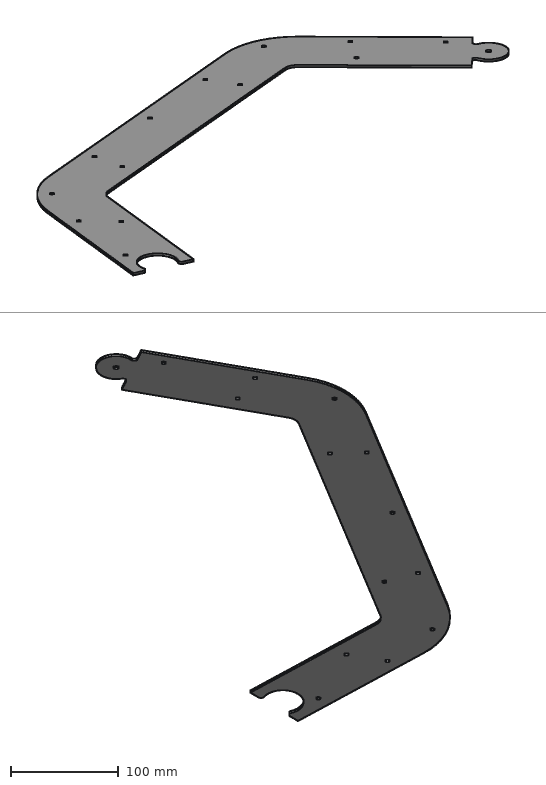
import cadquery as cq
import math

length_x = 401.5
length_y = 554.0
thickness = 2.55
width = 64.0
inner_bend_radius = 14.0
outer_bend_radius = inner_bend_radius + width
mid_bend_radius = inner_bend_radius + width / 2
arm_length = 161.5
middle_length = 2 * arm_length
bend_angle = 60

tab_radius = 19.0
tab_side_shift = 1.0
tab_fillet = 3.5
notch_radius = 19.5
notch_inset = 11.0
notch_fillet = 3.5

hole_diameter = 4.0
tab_hole_diameter = 5.0
outer_row_inset = 14.0
upper_arm_row_inset = 11.0
inner_row_inset = 16.5
outer_row_radius = outer_bend_radius - outer_row_inset
upper_arm_row_radius = outer_bend_radius - upper_arm_row_inset
inner_row_radius = inner_bend_radius + inner_row_inset
lower_arm_outer_holes = (34.0, 122.5)
upper_arm_outer_holes = (48.0, 137.0)
arm_inner_hole = 54.0
middle_outer_spacing = 101.5
middle_inner_spacing = 215.5


def polar(center, radius, angle):
    """Point at a radius and angle in degrees from a center."""
    a = math.radians(angle)
    return (center[0] + radius * math.cos(a), center[1] + radius * math.sin(a))


lower_center = (length_x - arm_length, outer_bend_radius)
upper_center = polar(lower_center, middle_length, 180 - bend_angle)
lower_normal = 270
middle_normal = lower_normal - bend_angle
upper_normal = middle_normal - bend_angle
lower_mid = (lower_normal + middle_normal) / 2
upper_mid = (middle_normal + upper_normal) / 2


def leg_point(center, normal, radius, along):
    """Point along a leg, measured from a bend toward the upper arm end."""
    return polar(polar(center, radius, normal), along, normal - 90)


def lower_point(radius, along):
    return leg_point(lower_center, lower_normal, radius, -along)


def middle_point(radius, along):
    return leg_point(lower_center, middle_normal, radius, along)


def upper_point(radius, along):
    return leg_point(upper_center, upper_normal, radius, along)


def bent_strip():
    outer, inner = outer_bend_radius, inner_bend_radius
    return (
        cq.Workplane("XY")
        .moveTo(*lower_point(outer, arm_length))
        .lineTo(*lower_point(outer, 0))
        .threePointArc(polar(lower_center, outer, lower_mid), middle_point(outer, 0))
        .lineTo(*middle_point(outer, middle_length))
        .threePointArc(polar(upper_center, outer, upper_mid), upper_point(outer, 0))
        .lineTo(*upper_point(outer, arm_length))
        .lineTo(*upper_point(inner, arm_length))
        .lineTo(*upper_point(inner, 0))
        .threePointArc(polar(upper_center, inner, upper_mid), middle_point(inner, middle_length))
        .lineTo(*middle_point(inner, 0))
        .threePointArc(polar(lower_center, inner, lower_mid), lower_point(inner, 0))
        .lineTo(*lower_point(inner, arm_length))
        .close()
        .extrude(thickness)
    )


def disc(center, radius):
    return cq.Workplane("XY").center(*center).circle(radius).extrude(thickness)


def fillet_corners(plate, points, radius):
    """Round the vertical edges nearest to the given points."""
    for x, y in points:
        corner = cq.selectors.NearestToPointSelector((x, y, thickness / 2))
        plate = plate.edges("|Z").edges(corner).fillet(radius)
    return plate


def add_tab(plate):
    plate = plate.union(disc(tab_center, tab_radius))
    half_neck = math.sqrt(tab_radius**2 - tab_offset**2)
    corners = [upper_point(tab_row_radius + side * half_neck, arm_length) for side in (-1, 1)]
    return fillet_corners(plate, corners, tab_fillet)


def cut_notch(plate):
    plate = plate.cut(disc(lower_point(mid_bend_radius, arm_length - notch_inset), notch_radius))
    half_mouth = math.sqrt(notch_radius**2 - notch_inset**2)
    corners = [lower_point(mid_bend_radius + side * half_mouth, arm_length) for side in (-1, 1)]
    return fillet_corners(plate, corners, notch_fillet)


def hole_centers():
    centers = [lower_point(outer_row_radius, along) for along in lower_arm_outer_holes]
    centers += [upper_point(upper_arm_row_radius, along) for along in upper_arm_outer_holes]
    for arm_point in (lower_point, upper_point):
        centers.append(arm_point(inner_row_radius, arm_inner_hole))
    for step in (-1, 0, 1):
        centers.append(middle_point(outer_row_radius, middle_length / 2 + step * middle_outer_spacing))
    for side in (-1, 1):
        centers.append(middle_point(inner_row_radius, middle_length / 2 + side * middle_inner_spacing / 2))
    centers.append(polar(lower_center, outer_row_radius, lower_mid))
    centers.append(polar(upper_center, outer_row_radius, upper_mid))
    return centers


tab_row_radius = mid_bend_radius + tab_side_shift
tab_rise = length_y - tab_radius - upper_point(tab_row_radius, arm_length)[1]
tab_offset = tab_rise / math.sin(math.radians(upper_normal - 90))
tab_center = upper_point(tab_row_radius, arm_length + tab_offset)

plate = cut_notch(add_tab(bent_strip()))
holes = cq.Workplane("XY").pushPoints(hole_centers()).circle(hole_diameter / 2).extrude(thickness)
result = plate.cut(holes).cut(disc(tab_center, tab_hole_diameter / 2))